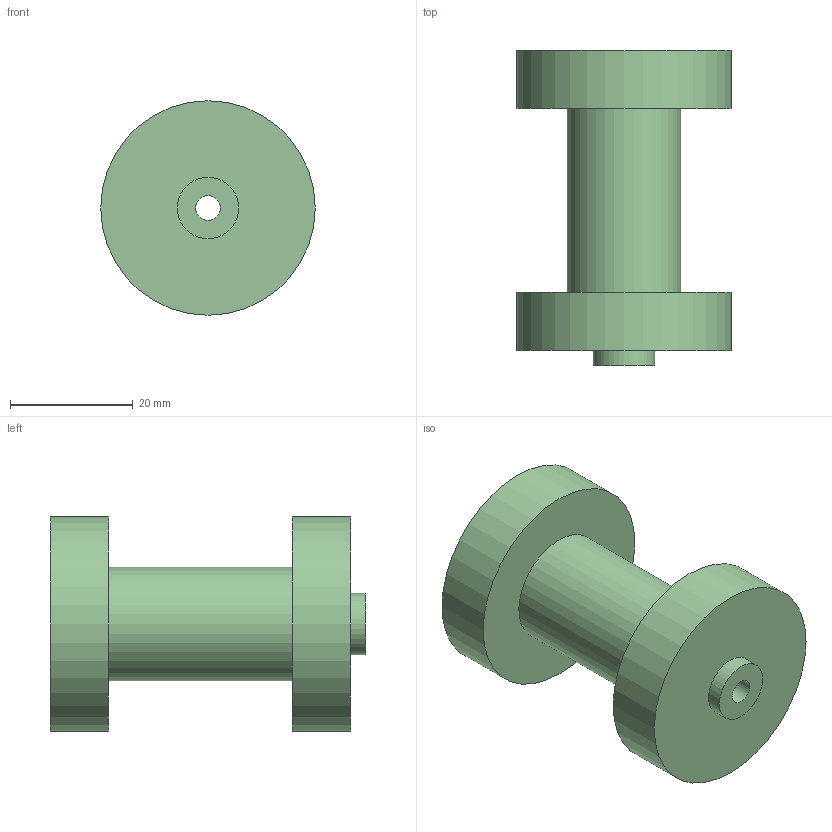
import cadquery as cq

flange_diameter = 35.0
flange_width = 9.5
barrel_diameter = 18.54
barrel_length = 30.0
boss_diameter = 10.0
boss_length = 2.5
bore_diameter = 4.0

boss_face_y = 0.0
front_flange_y = boss_face_y + boss_length
barrel_y = front_flange_y + flange_width
rear_flange_y = barrel_y + barrel_length
overall_length = rear_flange_y + flange_width - boss_face_y


def cylinder_along_y(diameter, start_y, length):
    """Solid cylinder on the Y axis, from start_y towards +Y."""
    start_plane = cq.Plane(origin=(0, start_y, 0), xDir=(1, 0, 0), normal=(0, 1, 0))
    return cq.Workplane(start_plane).circle(diameter / 2).extrude(length)


def make_spool():
    """Barrel with a flange at each end and a small boss on the -Y flange."""
    boss = cylinder_along_y(boss_diameter, boss_face_y, boss_length)
    front_flange = cylinder_along_y(flange_diameter, front_flange_y, flange_width)
    barrel = cylinder_along_y(barrel_diameter, barrel_y, barrel_length)
    rear_flange = cylinder_along_y(flange_diameter, rear_flange_y, flange_width)
    return barrel.union(front_flange).union(rear_flange).union(boss)


bore = cylinder_along_y(bore_diameter, boss_face_y, overall_length)

result = make_spool().cut(bore)